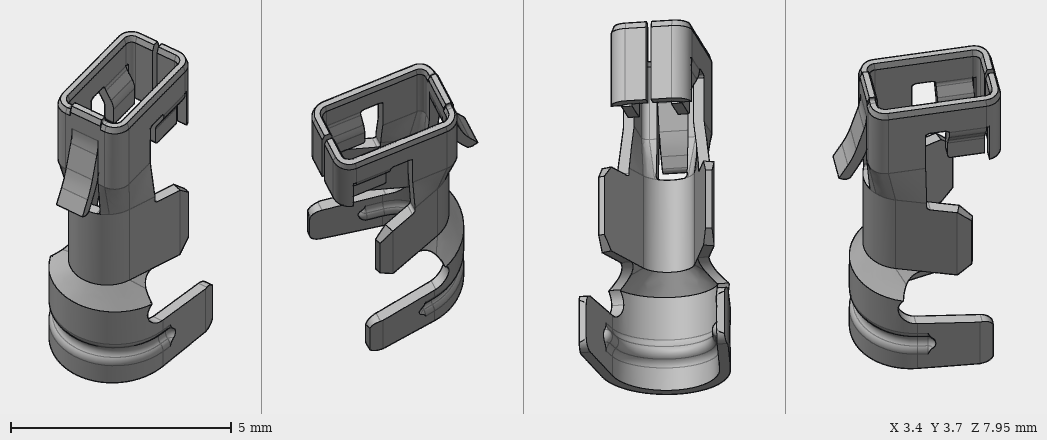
import cadquery as cq
import math


sheet = 0.25
far = 4.77

box_width = 1.87
box_depth = 3.06
box_corner = 0.4
box_bottom = 5.955
box_top = 7.84
rim_bevel_width = 0.055
rim_bevel_height = 0.15
seam_gap = 0.12
lip_half_width = 0.41
lip_top = 7.95
lip_fillet = 0.08

strip_edge = 1.26
notch_end = 1.81
notch_top = 7.06
notch_radius = 0.1
tongue_end = 2.66
window_end = 2.735
tongue_root = 7.0
tongue_bend_levels = (6.78, 6.55, 6.43)
tongue_angle = 31.0
tongue_corner = 0.08

spring_half_width = 0.36
slot_radius = 0.08
spring_root = 7.31
spring_bend_levels = (6.9, 6.27, 5.8)
spring_tip = 5.43
spring_upper_angle = 16.0
spring_lower_angle = 29.0
spring_tip_radius = 0.14

wire_radius = 0.875
wire_tilt = 19.5
wire_front = 0.0
wire_bottom = 2.74
wire_wing_top = 4.755
wire_neck = 4.95
wire_tip = 2.3
wire_bevel = 0.32
wire_tip_thickness = 0.15
wire_chamfer = 0.31
neck_radius = 0.08

grip_radius = 1.5
grip_tilt = 9.0
grip_front = -0.3
grip_top = 2.24
grip_wing_top = 1.54
grip_tip = 2.7
grip_bevel = 0.31
grip_tip_thickness = 0.175
grip_corner = 0.29
foot_rise = 0.22

throat_start = 0.93
throat_floor = (0.54, 1.93)
throat_corner = 0.39
throat_shoulder = (0.66, 2.26)
throat_crown = (0.875, 2.61)
throat_end = 1.15

bead_level = 0.89
bead_half_width = 0.33
bead_crest_half_width = 0.15
bead_depth = 0.15
bead_overlap = 0.02
groove_end = 1.2
ridge_end = 1.41


def direction(angle):
    """Unit vector at an angle in degrees from the first axis."""
    return cq.Vector(math.cos(math.radians(angle)), math.sin(math.radians(angle)))


def mirrored(points):
    """The same outline on the other side of X = 0, walked backwards."""
    return [cq.Vector(-p.x, p.y) for p in reversed(points)]


def pair(shape):
    """A shape together with its mirror image about X = 0."""
    return shape.union(shape.mirror("YZ"))


def side_prism(points):
    """A Y-Z polygon extruded along X to both sides, past every face."""
    return cq.Workplane("YZ").polyline(points).close().extrude(far, both=True)


def block(x, y, z):
    """A box given by its ranges along X, Y and Z."""
    size = [high - low for low, high in (x, y, z)]
    return cq.Workplane("XY").box(*size, centered=False).translate((x[0], y[0], z[0]))


def bent_strip(sketch, start, stations, thickness):
    """Edge-on outline of a strip hanging from start.

    Each station is a level and the lean there, in degrees toward the negative
    first axis; a change of lean makes an arc. The thickness is laid off toward
    the positive first axis.
    """
    def offset(point, lean):
        return (point + direction(-lean) * thickness).toTuple()[:2]

    face = cq.Vector(*start)
    lean = 0
    steps = []
    for level, next_lean in stations:
        turn = next_lean - lean
        drop = face.y - level
        end = cq.Vector(face.x - drop * math.tan(math.radians(lean + turn / 2)), level)
        chord = end - face
        sagitta = math.tan(math.radians(turn / 4)) / 2
        middle = (face + end) * 0.5 + cq.Vector(-chord.y, chord.x) * sagitta
        steps.append((face, lean, middle, end, next_lean))
        face, lean = end, next_lean

    sketch = sketch.moveTo(*start)
    for _, first_lean, middle, last, last_lean in steps:
        if first_lean == last_lean:
            sketch = sketch.lineTo(last.x, last.y)
        else:
            sketch = sketch.threePointArc((middle.x, middle.y), (last.x, last.y))
    sketch = sketch.lineTo(*offset(face, lean))
    for first, first_lean, middle, _, last_lean in reversed(steps):
        if first_lean == last_lean:
            sketch = sketch.lineTo(*offset(first, first_lean))
        else:
            middle_lean = (first_lean + last_lean) / 2
            sketch = sketch.threePointArc(offset(middle, middle_lean), offset(first, first_lean))
    return sketch.close()



def wing_points(radius, tilt, front, tip_y, bevel=0.0, tip_thickness=sheet):
    """Right wing outline from its outer foot round the tip to its inner foot."""
    outward = direction(-tilt)
    upward = direction(90 - tilt)
    inner_foot = cq.Vector(0, front + radius) + outward * (radius - sheet)
    length = (tip_y - inner_foot.y) / upward.y
    outer_foot = inner_foot + outward * sheet
    inner_tip = inner_foot + upward * length
    points = [outer_foot]
    if bevel:
        points.append(outer_foot + upward * (length - bevel))
    points += [inner_tip + outward * tip_thickness, inner_tip, inner_foot]
    return points


def draw_floor(sketch, axis_y, radius, angles):
    """Arcs about the barrel axis through the given angles."""
    axis = cq.Vector(0, axis_y)
    for start, end in zip(angles, angles[1:]):
        middle = axis + direction((start + end) / 2) * radius
        last = axis + direction(end) * radius
        sketch = sketch.threePointArc((middle.x, middle.y), (last.x, last.y))
    return sketch


def draw_barrel(sketch, radius, tilt, front, wing, splits=()):
    """Open U: a round floor, its arcs split at the given angles, and two tilted wings."""
    angles = [-tilt, *splits, tilt - 180]
    axis_y = front + radius
    sketch = sketch.moveTo(wing[-1].x, wing[-1].y)
    sketch = draw_floor(sketch, axis_y, radius - sheet, angles)
    for point in mirrored(wing)[1:]:
        sketch = sketch.lineTo(point.x, point.y)
    sketch = draw_floor(sketch, axis_y, radius, angles[::-1])
    for point in wing[1:-1]:
        sketch = sketch.lineTo(point.x, point.y)
    return sketch.close()


def draw_box_channel(sketch, back):
    """Front of the box up to a depth, with the same edge count as a barrel with a split floor."""
    outer = box_width / 2
    inner = outer - sheet
    flat = outer - box_corner
    bend = math.sqrt(0.5)
    outer_mid = (flat + box_corner * bend, box_corner * (1 - bend))
    inner_mid = (flat + (box_corner - sheet) * bend, box_corner - (box_corner - sheet) * bend)
    return (
        sketch.moveTo(inner, box_corner)
        .threePointArc(inner_mid, (flat, sheet))
        .lineTo(-flat, sheet)
        .threePointArc((-inner_mid[0], inner_mid[1]), (-inner, box_corner))
        .lineTo(-inner, back)
        .lineTo(-outer, back)
        .lineTo(-outer, box_corner)
        .threePointArc((-outer_mid[0], outer_mid[1]), (-flat, 0))
        .lineTo(flat, 0)
        .threePointArc(outer_mid, (outer, box_corner))
        .lineTo(outer, back)
        .lineTo(inner, back)
        .close()
    )


def wire_barrel():
    wing = wing_points(wire_radius, wire_tilt, wire_front, wire_tip, wire_bevel, wire_tip_thickness)
    sketch = cq.Workplane("XY").workplane(offset=wire_bottom)
    barrel = draw_barrel(sketch, wire_radius, wire_tilt, wire_front, wing)
    barrel = barrel.extrude(wire_neck - wire_bottom)

    above_wing = side_prism([
        (strip_edge, wire_wing_top), (strip_edge, far + wire_neck),
        (far, far + wire_neck), (far, wire_wing_top),
    ]).edges("|X and <Y and <Z").fillet(neck_radius)
    barrel = barrel.cut(above_wing)
    inner_tip = wing[-2]
    wing_plane = cq.Plane((inner_tip.x, inner_tip.y, 0), direction(90 - wire_tilt), direction(-wire_tilt))
    for corner_z, step in ((wire_bottom, wire_chamfer), (wire_wing_top, -wire_chamfer)):
        corner = (
            cq.Workplane(wing_plane)
            .polyline([(0, corner_z), (-wire_chamfer, corner_z), (0, corner_z + step)])
            .close()
            .extrude(sheet)
        )
        barrel = barrel.cut(pair(corner))
    return barrel


def insulation_barrel():
    wing = wing_points(grip_radius, grip_tilt, grip_front, grip_tip, grip_bevel, grip_tip_thickness)
    barrel = draw_barrel(cq.Workplane("XY"), grip_radius, grip_tilt, grip_front, wing).extrude(grip_top)
    outline = (
        side_prism([
            (grip_front, 0), (grip_tip, foot_rise), (grip_tip, grip_wing_top),
            (throat_start, grip_wing_top), (throat_start, grip_top), (grip_front, grip_top),
        ])
        .edges("|X and >Y").fillet(grip_corner)
    )
    throat_fill = block((-far, far), (grip_front, throat_start), (grip_wing_top, grip_top))
    return barrel.intersect(outline.union(throat_fill))


def barrel_cone():
    """Flared stretch joining the insulation barrel to the wire barrel."""
    lower_wing = wing_points(grip_radius, grip_tilt, grip_front, throat_end + sheet)
    upper_wing = wing_points(wire_radius, wire_tilt, wire_front, throat_end + sheet)
    sketch = cq.Workplane("XY").workplane(offset=grip_top)
    sketch = draw_barrel(sketch, grip_radius, grip_tilt, grip_front, lower_wing)
    sketch = sketch.workplane(offset=wire_bottom - grip_top)
    return draw_barrel(sketch, wire_radius, wire_tilt, wire_front, upper_wing).loft(ruled=True)


def neck():
    """Blend from the round wire barrel to the square front of the box."""
    back = strip_edge + sheet
    wing = wing_points(wire_radius, wire_tilt, wire_front, back)
    half_flat = math.degrees(math.asin((box_width / 2 - box_corner) / wire_radius))
    sketch = cq.Workplane("XY").workplane(offset=wire_neck)
    sketch = draw_barrel(sketch, wire_radius, wire_tilt, wire_front, wing, (half_flat - 90, -half_flat - 90))
    sketch = sketch.workplane(offset=box_bottom - wire_neck)
    blend = draw_box_channel(sketch, back).loft(ruled=True)
    return blend.cut(block((-far, far), (strip_edge, far), (wire_neck, box_bottom)))


def throat():
    bend = math.sqrt(0.5)
    corner_mid = (
        throat_start - throat_corner * bend,
        throat_floor[1] - throat_corner * bend,
    )
    return (
        cq.Workplane("YZ")
        .moveTo(far, grip_wing_top)
        .lineTo(throat_start, grip_wing_top)
        .threePointArc(corner_mid, throat_floor)
        .tangentArcPoint(throat_shoulder, relative=False)
        .threePointArc(throat_crown, (throat_end, wire_bottom))
        .lineTo(far, wire_bottom)
        .close()
        .extrude(far, both=True)
    )



def bead_profile(plane, surface):
    """Bead section: rounded edge, crest and rounded edge, as three tangent arcs."""
    slope = 2 * math.atan(bead_depth / bead_half_width)
    crest_x = surface - bead_depth
    edge_radius = (bead_half_width - bead_crest_half_width) / math.sin(slope)
    turn_x = surface - edge_radius * (1 - math.cos(slope))
    edge_mid_x = surface - edge_radius * (1 - math.cos(slope / 2))
    edge_mid_height = bead_half_width - edge_radius * math.sin(slope / 2)
    return (
        cq.Workplane(plane)
        .moveTo(surface, bead_half_width)
        .threePointArc((edge_mid_x, edge_mid_height), (turn_x, bead_crest_half_width))
        .threePointArc((crest_x, 0), (turn_x, -bead_crest_half_width))
        .threePointArc((edge_mid_x, -edge_mid_height), (surface, -bead_half_width))
        .lineTo(surface + bead_overlap, -bead_half_width)
        .lineTo(surface + bead_overlap, bead_half_width)
        .close()
    )


def bead(surface, end_y):
    """Bead pressed inward from a barrel surface, with rounded ends on the wings."""
    axis = cq.Vector(0, grip_front + grip_radius, bead_level)
    outward = direction(-grip_tilt)
    upward = direction(90 - grip_tilt)
    foot = axis + outward * surface
    run = (end_y - foot.y) / upward.y

    start = direction(grip_tilt - 180)
    floor_plane = cq.Plane(axis, start, (start.y, -start.x, 0))
    floor = bead_profile(floor_plane, surface).revolve(180 - 2 * grip_tilt, (0, 0), (0, 1))
    wing = bead_profile(cq.Plane(foot, outward, -upward), 0).extrude(-run)
    end_plane = cq.Plane(foot + upward * run, outward, -upward)
    rounded_end = bead_profile(end_plane, 0).revolve(90, (bead_overlap, 0), (bead_overlap, -1))
    return floor.union(pair(wing.union(rounded_end)))



def box_shell():
    """Rectangular tube with a seam at the back and a rim bevelled inside and out."""
    height = box_top - box_bottom

    def tube(inset):
        return (
            cq.Workplane("XY")
            .workplane(offset=box_bottom)
            .center(0, box_depth / 2)
            .rect(box_width - 2 * inset, box_depth - 2 * inset)
            .extrude(height)
            .edges("|Z").fillet(box_corner - inset)
        )

    outer = tube(0).faces(">Z").chamfer(rim_bevel_height, rim_bevel_width)
    mouth_inset = sheet - rim_bevel_width
    taper = math.degrees(math.atan(rim_bevel_width / rim_bevel_height))
    mouth = (
        tube(mouth_inset).faces(">Z").wires().toPending()
        .workplane().extrude(-rim_bevel_height, combine=False, taper=taper)
    )
    seam = block((-seam_gap / 2, seam_gap / 2), (box_depth / 2, far), (box_bottom, box_top))
    return outer.cut(tube(sheet)).cut(mouth).cut(seam)


def lip():
    """Short raised lip on the front wall, filleted into the rim."""
    low = box_top - 2 * rim_bevel_height
    raised = block((-lip_half_width, lip_half_width), (0, sheet), (low, lip_top))
    raised = raised.faces(">Z").edges("|X").chamfer(rim_bevel_height, rim_bevel_width)
    corner = block(
        (lip_half_width, lip_half_width + lip_fillet),
        (rim_bevel_width, sheet - rim_bevel_width),
        (box_top, box_top + lip_fillet),
    )
    hollow = (
        cq.Workplane("XZ")
        .center(lip_half_width + lip_fillet, box_top + lip_fillet)
        .circle(lip_fillet)
        .extrude(-sheet)
    )
    return raised.union(pair(corner.cut(hollow)))


def tongue():
    """Tongue on the right wall: an S-bend inward, then straight down."""
    bend_start, bend_end, straight = tongue_bend_levels
    stations = [
        (tongue_root, 0), (bend_start, tongue_angle), (bend_end, tongue_angle),
        (straight, 0), (box_bottom, 0),
    ]
    width = tongue_end - notch_end
    strip = bent_strip(cq.Workplane("XZ"), (box_width / 2, notch_top), stations, -sheet)
    tongue_body = strip.extrude(-(width + notch_radius)).translate((0, notch_end - notch_radius, 0))
    free_corner = (
        block((0, far), (notch_end, tongue_end), (box_bottom, notch_top))
        .edges("|X and <Y and <Z").fillet(tongue_corner)
    )
    root = block((0, far), (0, tongue_end), (tongue_root - 2 * notch_radius, notch_top))
    return tongue_body.intersect(free_corner.union(root))


def spring_box():
    window = block((-far, far), (strip_edge, window_end), (box_bottom, tongue_root))
    notch = (
        block((-far, far), (strip_edge, notch_end), (box_bottom, notch_top))
        .edges("|X and >Z").fillet(notch_radius)
    )
    shell = box_shell().union(lip()).cut(window)
    return shell.union(pair(tongue())).cut(notch)



def spring_slot():
    slot = block((-spring_half_width, spring_half_width), (-sheet, 2 * sheet), (wire_neck, spring_root))
    return slot.edges("|Y and <Z").fillet(slot_radius)


def locking_spring():
    """Strip hanging from the slot's top edge, leaning forward in two bends."""
    first_bend, second_bend, last_bend = spring_bend_levels
    stations = [
        (first_bend, spring_upper_angle), (second_bend, spring_upper_angle),
        (last_bend, spring_lower_angle), (spring_tip, spring_lower_angle),
    ]
    return (
        bent_strip(cq.Workplane("YZ"), (0, spring_root), stations, sheet)
        .extrude(spring_half_width, both=True)
        .edges("|X and <Z").fillet(spring_tip_radius)
    )



lower = insulation_barrel().union(barrel_cone()).cut(throat())
lower = lower.union(bead(grip_radius - sheet, ridge_end)).cut(bead(grip_radius, groove_end))
upper = wire_barrel().union(neck()).union(spring_box()).cut(spring_slot())
result = lower.union(upper).union(locking_spring())